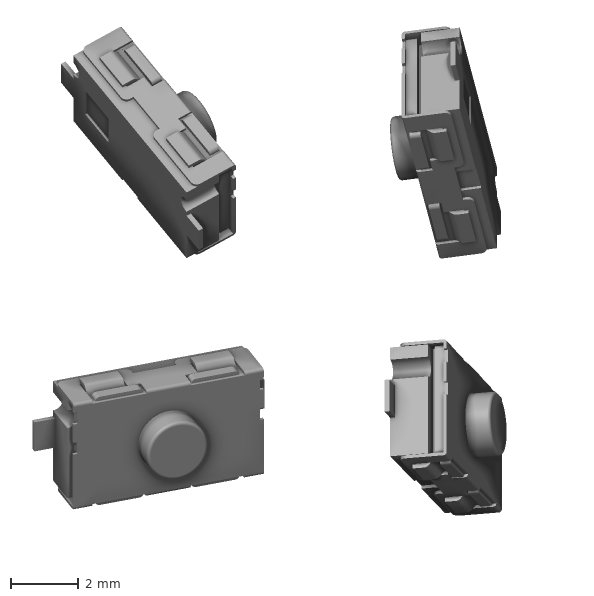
import cadquery as cq
import math

TAB_THICKNESS = 0.15
BODY_TOP = 1.17
GASKET_BOTTOM = 1.32
PLATE_BOTTOM = 1.65
SHEET = 0.095
PLATE_TOP = PLATE_BOTTOM + SHEET
BUTTON_TOP = 2.5

BODY_LENGTH = 6.0
BODY_WIDTH = 3.37
NECK_LENGTH = 4.965
TAB_SPAN = 7.3
TAB_WIDTH = 0.985
GROOVE_RADIUS = 0.31
GROOVE_Z = 1.0
LABEL_SIZE = 1.22
LABEL_X = -1.76
LABEL_DEPTH = 0.07
EDGE_NOTCH_LENGTH = 0.82
EDGE_NOTCH_DEPTH = 0.095

COVER_LENGTH = 6.045
FLANGE_INNER_Z = 1.7
FLANGE_OUTER_Z = FLANGE_INNER_Z + SHEET
FLANGE_BOTTOM = 0.28
FLANGE_RADIUS = 0.205
RELIEF_HALF_LENGTH = 0.69
RELIEF_TOP = 0.59
PLATE_NOTCH_WIDTH = 0.395
PLATE_NOTCH_DEPTH = 0.125
PLATE_NOTCH_CENTERS = (0.29, 1.31)

WINDOW_OUTER_X = 2.415
WINDOW_INNER_X = 0.7
WINDOW_STEP_X = 1.11
WINDOW_STEP_Y = 1.25
WINDOW_BOTTOM = 0.635

GASKET_LENGTH = 5.695
GASKET_RADIUS = 0.14
LUG_INNER_X = 0.76
LUG_OUTER_X = 2.29
LUG_OUTER_Z = 1.83

HOOK_LENGTH = 1.21
HOOK_CENTER_X = 1.76
HOOK_BOTTOM = 0.51
HOOK_OUTER_Z = 1.92
HOOK_NOSE_RADIUS = 0.18
HOOK_RAMP_ANGLE = math.radians(45)

BUTTON_RADIUS = 0.955
BUTTON_EDGE_RADIUS = 0.095
BUTTON_COVE_RADIUS = 0.145
BUTTON_COVE_HEIGHT = 0.065
BUTTON_COVE_TOP = PLATE_TOP + BUTTON_COVE_HEIGHT


def block(x_min, x_max, y_min, y_max, z_min, z_max):
    """Axis-aligned block between the given limits."""
    size = (x_max - x_min, y_max - y_min, z_max - z_min)
    return cq.Workplane("XY").box(*size, centered=False).translate((x_min, y_min, z_min))


def centered_block(length, y_min, y_max, width):
    """Block centred on the Y axis, length along X and width along Z."""
    return block(-length / 2, length / 2, y_min, y_max, -width / 2, width / 2)


def both_ends(feature):
    """The feature made for +X together with its mirror image at -X."""
    return feature.union(feature.mirror("YZ"))


def four_fold(feature):
    """The feature made for +X and +Z, repeated in all four quadrants."""
    pair = both_ends(feature)
    return pair.union(pair.mirror("XY"))


def make_body():
    """Stepped block with terminal tabs, end grooves, a bottom edge notch and a label recess."""
    body = centered_block(BODY_LENGTH, 0, BODY_TOP, BODY_WIDTH)
    body = body.union(centered_block(NECK_LENGTH, BODY_TOP, GASKET_BOTTOM, BODY_WIDTH))
    body = body.union(centered_block(TAB_SPAN, 0, TAB_THICKNESS, TAB_WIDTH))

    groove = cq.Workplane("XZ").center(BODY_LENGTH / 2, GROOVE_Z).circle(GROOVE_RADIUS).extrude(-BODY_TOP)
    body = body.cut(both_ends(groove))

    edge_notch = block(
        -EDGE_NOTCH_LENGTH / 2, EDGE_NOTCH_LENGTH / 2, 0, BODY_TOP,
        -BODY_WIDTH / 2, -BODY_WIDTH / 2 + EDGE_NOTCH_DEPTH,
    )
    label = centered_block(LABEL_SIZE, 0, LABEL_DEPTH, LABEL_SIZE).translate((LABEL_X, 0, 0))
    return body.cut(edge_notch).cut(label)


def make_hooks():
    """Ramped snap hooks; each ramp rises from the body and rounds into the flat crown."""
    body_z = BODY_WIDTH / 2
    ramp_end_z = HOOK_OUTER_Z - HOOK_NOSE_RADIUS * (1 - math.cos(HOOK_RAMP_ANGLE))
    ramp_end_y = BODY_TOP - (ramp_end_z - body_z) / math.tan(HOOK_RAMP_ANGLE)
    crown_y = ramp_end_y - HOOK_NOSE_RADIUS * math.sin(HOOK_RAMP_ANGLE)
    nose_mid_y = crown_y + HOOK_NOSE_RADIUS * math.sin(HOOK_RAMP_ANGLE / 2)
    nose_mid_z = HOOK_OUTER_Z - HOOK_NOSE_RADIUS * (1 - math.cos(HOOK_RAMP_ANGLE / 2))
    hook = (
        cq.Workplane("YZ", origin=(HOOK_CENTER_X, 0, 0))
        .moveTo(WINDOW_BOTTOM, body_z)
        .lineTo(BODY_TOP, body_z)
        .lineTo(ramp_end_y, ramp_end_z)
        .threePointArc((nose_mid_y, nose_mid_z), (crown_y, HOOK_OUTER_Z))
        .lineTo(HOOK_BOTTOM, HOOK_OUTER_Z)
        .lineTo(HOOK_BOTTOM, FLANGE_OUTER_Z)
        .lineTo(WINDOW_BOTTOM, FLANGE_OUTER_Z)
        .close()
        .extrude(HOOK_LENGTH / 2, both=True)
    )
    return four_fold(hook)


def make_gasket():
    """Rounded gasket under the plate with four lugs reaching past the flanges."""
    gasket = centered_block(GASKET_LENGTH, GASKET_BOTTOM, PLATE_BOTTOM, 2 * FLANGE_INNER_Z)
    gasket = gasket.edges("|Y").fillet(GASKET_RADIUS)
    lug = block(LUG_INNER_X, LUG_OUTER_X, GASKET_BOTTOM, PLATE_BOTTOM, 0, LUG_OUTER_Z)
    lug = lug.edges("|Y and >Z").fillet(GASKET_RADIUS)
    return gasket.union(four_fold(lug))


def make_cover():
    """Folded sheet cover with rounded flanges, windows and notched plate ends."""
    cover = centered_block(COVER_LENGTH, FLANGE_BOTTOM, PLATE_TOP, 2 * FLANGE_OUTER_Z)
    cover = cover.edges("|X and >Y").fillet(SHEET)
    cover = cover.cut(centered_block(COVER_LENGTH, FLANGE_BOTTOM, PLATE_BOTTOM, 2 * FLANGE_INNER_Z))
    relief = centered_block(2 * RELIEF_HALF_LENGTH, FLANGE_BOTTOM, RELIEF_TOP, 2 * FLANGE_OUTER_Z)
    cover = cover.cut(relief)
    cover = cover.edges("|Z and <Y").fillet(FLANGE_RADIUS)
    cover = cover.cut(flange_windows())

    notch_x = COVER_LENGTH / 2 - PLATE_NOTCH_DEPTH
    for z in PLATE_NOTCH_CENTERS:
        notch = block(
            notch_x, COVER_LENGTH / 2, PLATE_BOTTOM, PLATE_TOP,
            z - PLATE_NOTCH_WIDTH / 2, z + PLATE_NOTCH_WIDTH / 2,
        )
        cover = cover.cut(both_ends(notch))
    return cover


def flange_windows():
    """L-shaped openings: a wide part for the lug and a narrow part for the hook."""
    wide = block(
        WINDOW_INNER_X, WINDOW_OUTER_X, WINDOW_STEP_Y, PLATE_TOP, FLANGE_INNER_Z, FLANGE_OUTER_Z
    )
    narrow = block(
        WINDOW_STEP_X, WINDOW_OUTER_X, WINDOW_BOTTOM, WINDOW_STEP_Y, FLANGE_INNER_Z, FLANGE_OUTER_Z
    )
    return four_fold(wide.union(narrow))


def make_button():
    """Round button with a rounded top edge and a cove that runs out into the plate."""
    cove_center = BUTTON_RADIUS + BUTTON_COVE_RADIUS
    flare_radius = cove_center - math.sqrt(BUTTON_COVE_RADIUS**2 - BUTTON_COVE_HEIGHT**2)
    half_angle = math.asin(BUTTON_COVE_HEIGHT / BUTTON_COVE_RADIUS) / 2
    cove_mid = (
        cove_center - BUTTON_COVE_RADIUS * math.cos(half_angle),
        BUTTON_COVE_TOP - BUTTON_COVE_RADIUS * math.sin(half_angle),
    )
    profile = (
        cq.Workplane("XY")
        .moveTo(0, PLATE_BOTTOM)
        .lineTo(flare_radius, PLATE_BOTTOM)
        .lineTo(flare_radius, PLATE_TOP)
        .threePointArc(cove_mid, (BUTTON_RADIUS, BUTTON_COVE_TOP))
        .lineTo(BUTTON_RADIUS, BUTTON_TOP)
        .lineTo(0, BUTTON_TOP)
        .close()
    )
    button = profile.revolve(360, (0, 0, 0), (0, 1, 0))
    return button.faces(">Y").edges().fillet(BUTTON_EDGE_RADIUS)


result = make_body()
for feature in (make_hooks(), make_gasket(), make_cover(), make_button()):
    result = result.union(feature)